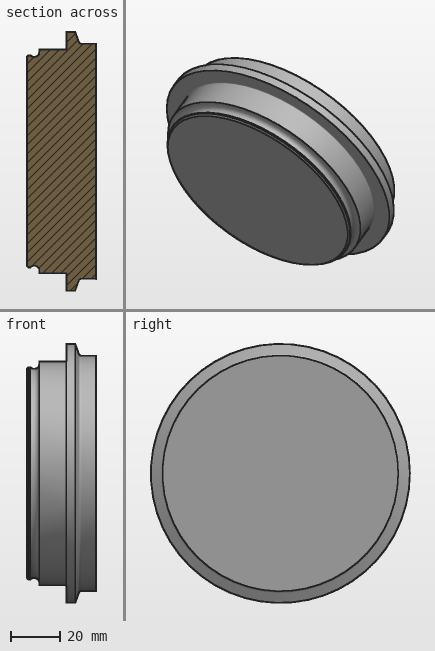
import cadquery as cq
import math

bead_chamfer = 0.7
groove_floor_start = 2.8
shoulder_x = 5.0
flange_x = 16.0
flange_rim_end = 19.6
total_length = 28.1

bead_radius = 86.0 / 2
front_face_radius = 84.5 / 2
shoulder_radius = 90.6 / 2
flange_radius = 104.8 / 2
hub_radius = 95.2 / 2

groove_radius = 1.9
groove_floor_radius = 42.3
groove_floor_end = shoulder_x - groove_radius
groove_top_radius = groove_floor_radius + groove_radius
bead_rise = bead_radius - groove_floor_radius
bead_end = groove_floor_start - math.sqrt(groove_radius**2 - (groove_radius - bead_rise)**2)

corner_fillet = 0.3

cone_angle = math.radians(20)
hub_fillet = 1.0
cone_foot_x = flange_rim_end + (flange_radius - hub_radius) * math.tan(cone_angle)
fillet_turn = math.pi / 2 - cone_angle
tangent_length = hub_fillet * math.tan(fillet_turn / 2)
fillet_start_x = cone_foot_x - tangent_length * math.sin(cone_angle)
fillet_start_radius = hub_radius + tangent_length * math.cos(cone_angle)
fillet_end_x = cone_foot_x + tangent_length

profile = (
    cq.Workplane("XY")
    .lineTo(0, front_face_radius)
    .lineTo(bead_chamfer, bead_radius)
    .lineTo(bead_end, bead_radius)
    .radiusArc((groove_floor_start, groove_floor_radius), -groove_radius)
    .lineTo(groove_floor_end, groove_floor_radius)
    .radiusArc((shoulder_x, groove_top_radius), -groove_radius)
    .lineTo(shoulder_x, shoulder_radius)
    .lineTo(flange_x - corner_fillet, shoulder_radius)
    .radiusArc((flange_x, shoulder_radius + corner_fillet), -corner_fillet)
    .lineTo(flange_x, flange_radius)
    .lineTo(flange_rim_end, flange_radius)
    .lineTo(fillet_start_x, fillet_start_radius)
    .radiusArc((fillet_end_x, hub_radius), -hub_fillet)
    .lineTo(total_length, hub_radius)
    .lineTo(total_length, 0)
    .close()
)

result = profile.revolve(360, (0, 0, 0), (1, 0, 0))